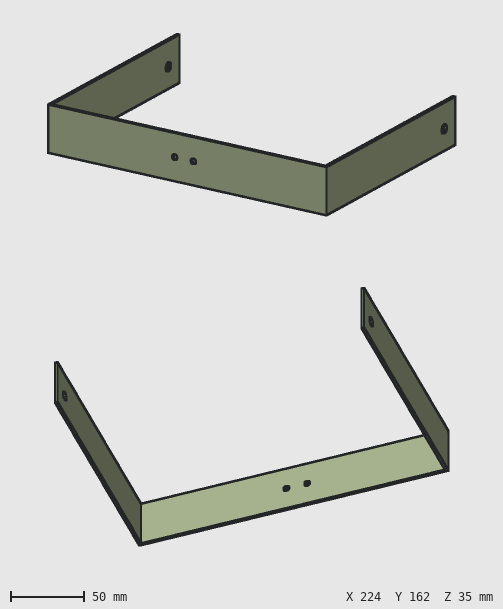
import cadquery as cq

width = 224.0
depth = 162.0
height = 35.0
wall = 2.0

web_hole_diameter = 4.0
web_hole_spacing = 15.0
web_hole_offset = -2.7
web_hole_height = 17.5

arm_hole_diameter = 6.5
arm_hole_end_distance = 14.0
arm_hole_height = 16.0


def bracket_body():
    """Flat strip bent to a U that opens toward +Y, with sharp corners."""
    outer = cq.Workplane("XY").box(width, depth, height, centered=(True, False, False))
    opening = (
        cq.Workplane("XY")
        .box(width - 2 * wall, depth - wall, height, centered=(True, False, False))
        .translate((0, wall, 0))
    )
    return outer.cut(opening)


def web_holes():
    """Two cylinders that pass through the web along Y."""
    half_spacing = web_hole_spacing / 2
    centers = [
        (web_hole_offset + side * half_spacing, web_hole_height) for side in (-1, 1)
    ]
    return (
        cq.Workplane("XZ")
        .pushPoints(centers)
        .circle(web_hole_diameter / 2)
        .extrude(-2 * wall)
    )


def arm_holes():
    """One cylinder along X that crosses both arms."""
    return (
        cq.Workplane("YZ")
        .center(depth - arm_hole_end_distance, arm_hole_height)
        .circle(arm_hole_diameter / 2)
        .extrude(width / 2, both=True)
    )


result = bracket_body().cut(web_holes()).cut(arm_holes())